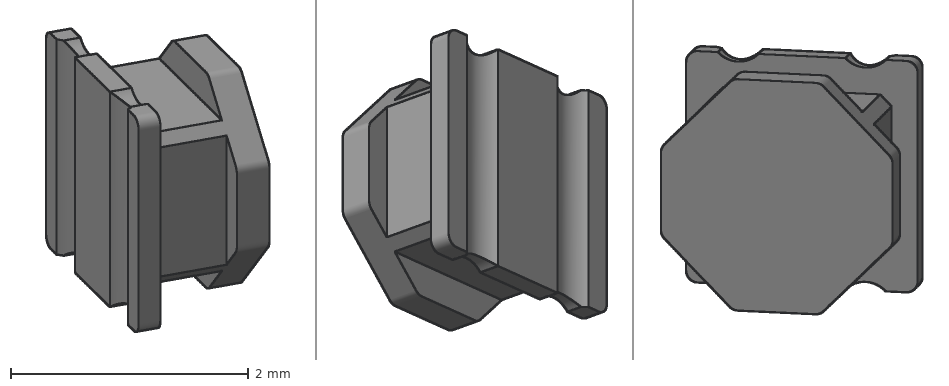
import cadquery as cq

side = 2.0
depth = 1.2

base_thickness = 0.2
base_corner_radius = 0.1

flange_thickness = 0.3
flange_chamfer = 0.625
flange_corner_radius = 0.1

core_width = 1.552
core_height = 1.4
core_chamfer = (core_width + core_height) / 2 - (side - flange_chamfer)
core_length = depth - base_thickness - flange_thickness

groove_offset = 0.572
groove_width = 0.39
groove_depth = 0.1

notch_offset = 0.55
notch_width = 0.348
notch_depth = 0.075


def arc_radius(chord, rise):
    """Radius of the circle whose arc has this chord and rise."""
    return (chord**2 / 4 + rise**2) / (2 * rise)


def block(width, height, start, thickness):
    """Box centred in X and Z that reaches from Y = start to start + thickness."""
    return cq.Workplane("XY").box(width, thickness, height).translate((0, start + thickness / 2, 0))


def base_plate():
    plate = block(side, side, 0, base_thickness).edges("|Y").fillet(base_corner_radius)

    notch_radius = arc_radius(notch_width, notch_depth)
    notch_centre_z = side / 2 - notch_depth + notch_radius
    notch_centres = [(x, z) for x in (-notch_offset, notch_offset) for z in (-notch_centre_z, notch_centre_z)]
    notches = cq.Workplane("XZ").pushPoints(notch_centres).circle(notch_radius).extrude(-base_thickness)

    groove_radius = arc_radius(groove_width, groove_depth)
    groove_centre_y = groove_depth - groove_radius
    groove_centres = [(x, groove_centre_y) for x in (-groove_offset, groove_offset)]
    grooves = cq.Workplane("XY").pushPoints(groove_centres).circle(groove_radius).extrude(side / 2, both=True)

    return plate.cut(notches).cut(grooves)


def core():
    return block(core_width, core_height, base_thickness, core_length).edges("|Y").chamfer(core_chamfer)


def flange():
    octagon = block(side, side, depth - flange_thickness, flange_thickness).edges("|Y").chamfer(flange_chamfer)
    return octagon.edges("|Y").fillet(flange_corner_radius)


result = base_plate().union(core()).union(flange())